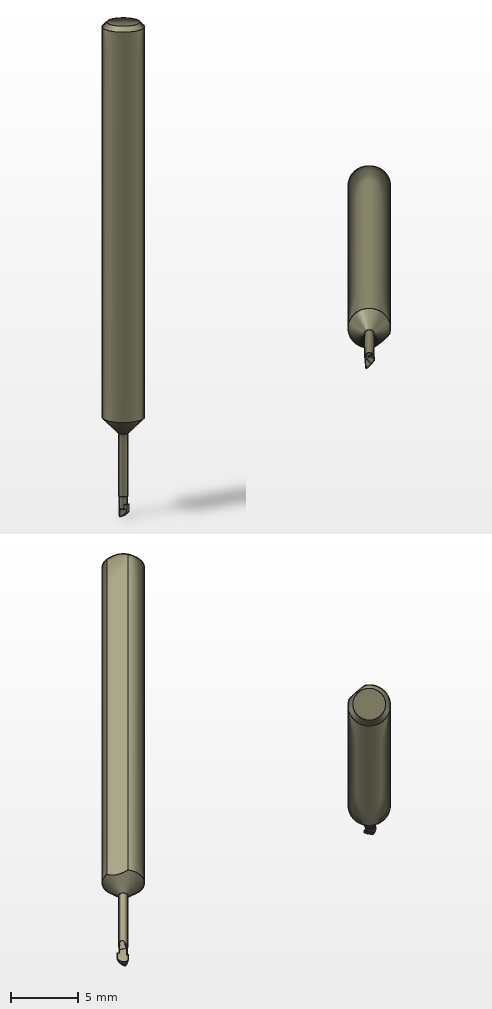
import cadquery as cq

total_length = 38.1
shank_radius = 1.58
shank_flat_y = 1.353
top_chamfer = 0.362
shank_bottom_z = 7.65

neck_radius = 0.35
cone_bottom_z = shank_bottom_z - (shank_radius - neck_radius)
neck_bottom_z = 1.6

rake_face_y = 0.1
rake_runout_z = 1.25
rake_top_z = 1.9
stem_radius = 0.3
head_reach = 0.44
tooth_top_z = 0.65
heel_top_z = 1.0
heel_bottom_z = 0.42
heel_front_y = -0.23
tip_x = -0.25
tip_flat_x = 0.1
corner_height = 0.1
relief_end_x = -0.05


def make_shank():
    """Round shank with a flat on +Y, a chamfered top and a conical lower end."""
    body = (
        cq.Workplane("XZ")
        .moveTo(0, cone_bottom_z)
        .lineTo(neck_radius, cone_bottom_z)
        .lineTo(shank_radius, shank_bottom_z)
        .lineTo(shank_radius, total_length - top_chamfer)
        .lineTo(shank_radius - top_chamfer, total_length)
        .lineTo(0, total_length)
        .close()
        .revolve(360, (0, 0, 0), (0, 1, 0))
    )
    flat_cutter = cq.Workplane("XY").box(
        2 * shank_radius, shank_radius, total_length, centered=(True, False, False)
    ).translate((0, shank_flat_y, 0))
    return body.cut(flat_cutter)


def make_neck():
    """Cylinder between the cone and the cutting head."""
    return (
        cq.Workplane("XY")
        .workplane(offset=neck_bottom_z)
        .circle(neck_radius)
        .extrude(cone_bottom_z - neck_bottom_z)
    )


def make_head():
    """Hooked head: a tooth on -X, a bevelled heel on +X and a relieved flank."""
    profile = (
        cq.Workplane("XZ")
        .workplane(offset=-neck_radius)
        .moveTo(-stem_radius, neck_bottom_z)
        .lineTo(-stem_radius, tooth_top_z)
        .lineTo(-head_reach, tooth_top_z)
        .lineTo(-head_reach, corner_height)
        .lineTo(tip_x, 0)
        .lineTo(tip_flat_x, corner_height)
        .lineTo(head_reach, heel_bottom_z)
        .lineTo(head_reach, heel_top_z)
        .lineTo(stem_radius, heel_top_z)
        .lineTo(stem_radius, neck_bottom_z)
        .close()
        .extrude(neck_radius + head_reach)
    )
    stem_round = cq.Workplane("XY").circle(stem_radius).extrude(neck_bottom_z)
    head_round = cq.Workplane("XY").ellipse(head_reach + rake_face_y, head_reach).extrude(tooth_top_z)
    heel = cq.Workplane("XY").box(
        head_reach, rake_face_y - heel_front_y, heel_top_z, centered=False
    ).translate((0, heel_front_y, 0))
    flank_cutter = (
        cq.Workplane("XY")
        .moveTo(-head_reach, rake_face_y)
        .lineTo(relief_end_x, -head_reach)
        .lineTo(-head_reach, -head_reach)
        .close()
        .extrude(tooth_top_z)
    )
    return profile.intersect(stem_round.union(head_round).union(heel)).cut(flank_cutter)


def make_rake_cutter():
    """Clearance in front of the rake face, with a sloping run-out into the neck."""
    return (
        cq.Workplane("YZ")
        .moveTo(rake_face_y, 0)
        .lineTo(rake_face_y, rake_runout_z)
        .lineTo(neck_radius, rake_top_z)
        .lineTo(2 * neck_radius, rake_top_z)
        .lineTo(2 * neck_radius, 0)
        .close()
        .extrude(2 * head_reach, both=True)
    )


result = make_shank().union(make_neck()).union(make_head()).cut(make_rake_cutter())